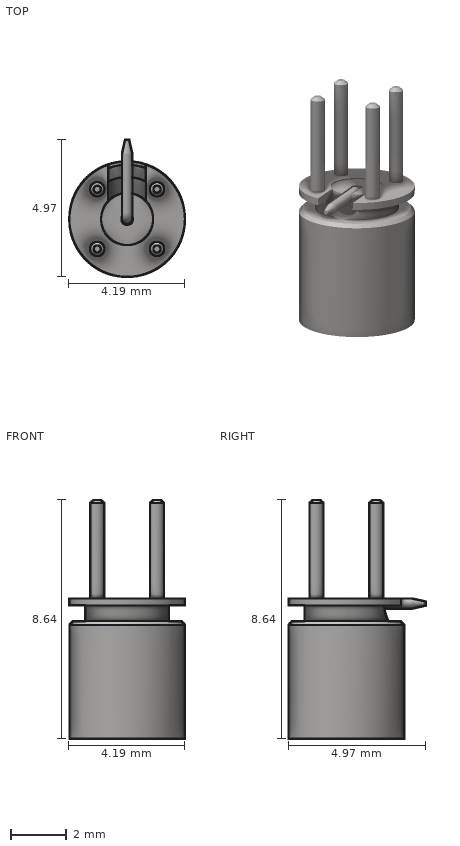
import cadquery as cq

total_height = 8.64
total_depth = 4.97
body_diameter = 4.19
body_radius = body_diameter / 2
shoulder_height = 4.25
body_chamfer = 0.13
neck_radius = 1.52
flange_top = 5.08
flange_thickness = 0.26

insulator_radius = 0.94
insulator_recess = 0.04
insulator_top = flange_top - insulator_recess

slot_half_width = 0.68
slot_axis_height = shoulder_height + slot_half_width

pin_radius = 0.26
pin_offset = 1.08
pin_tip_radius = 0.13
pin_tip_height = 0.11

lead_radius = 0.19
lead_bend_radius = 0.21
lead_axis_height = flange_top - lead_radius
lead_end = total_depth - body_radius
lead_taper_length = 0.5
lead_tip_radius = 0.08

lead_hole_radius = 0.21
lead_hole_floor = lead_axis_height - lead_bend_radius


def cylinder(radius, bottom, top):
    """Upright cylinder on the Z axis between two heights."""
    return cq.Workplane("XY").workplane(offset=bottom).circle(radius).extrude(top - bottom)


def make_housing():
    body = cylinder(body_radius, 0, shoulder_height).faces(">Z").chamfer(body_chamfer)
    neck = cylinder(neck_radius, shoulder_height, flange_top)
    flange = cylinder(body_radius, flange_top - flange_thickness, flange_top)
    return body.union(neck).union(flange)


def make_slot():
    """U-shaped channel along +Y, open at the top of the flange."""
    return (
        cq.Workplane("XZ")
        .moveTo(-slot_half_width, flange_top)
        .lineTo(-slot_half_width, slot_axis_height)
        .threePointArc((0, shoulder_height), (slot_half_width, slot_axis_height))
        .lineTo(slot_half_width, flange_top)
        .close()
        .extrude(-body_radius)
    )


def make_pin(x, y):
    """Upright pin standing on the flange, with a conical tip."""
    return (
        cq.Workplane("XZ")
        .moveTo(0, flange_top - flange_thickness)
        .lineTo(pin_radius, flange_top - flange_thickness)
        .lineTo(pin_radius, total_height - pin_tip_height)
        .lineTo(pin_tip_radius, total_height)
        .lineTo(0, total_height)
        .close()
        .revolve(360, (0, 0, 0), (0, 1, 0))
        .translate((x, y, 0))
    )


def make_lead():
    """Quarter-bend elbow followed by a straight run with a tapered tip."""
    elbow = (
        cq.Workplane("XY")
        .workplane(offset=lead_axis_height - lead_bend_radius)
        .circle(lead_radius)
        .revolve(90, (0.09, lead_bend_radius, 0), (-0.09, lead_bend_radius, 0))
    )
    taper_start = lead_end - lead_taper_length
    straight = (
        cq.Workplane("XY")
        .moveTo(0, lead_bend_radius)
        .lineTo(lead_radius, lead_bend_radius)
        .lineTo(lead_radius, taper_start)
        .lineTo(lead_tip_radius, lead_end)
        .lineTo(0, lead_end)
        .close()
        .revolve(360, (0, 0, 0), (0, 1, 0))
        .translate((0, 0, lead_axis_height))
    )
    return elbow.union(straight)


def make_insulator():
    """Central plug with a clearance hole at the bend and a channel beside the upper half of the lead."""
    plug = cylinder(insulator_radius, shoulder_height, insulator_top)
    hole = cylinder(lead_hole_radius, lead_hole_floor, insulator_top)
    channel = (
        cq.Workplane("XY")
        .box(2 * lead_radius, insulator_radius, lead_radius, centered=(True, False, False))
        .translate((0, 0, lead_axis_height))
    )
    return plug.cut(hole).cut(channel)


insulator_space = cylinder(insulator_radius, shoulder_height, flange_top)

result = make_housing().cut(make_slot()).cut(insulator_space).union(make_insulator())
for x in (-pin_offset, pin_offset):
    for y in (-pin_offset, pin_offset):
        result = result.union(make_pin(x, y))
result = result.union(make_lead())